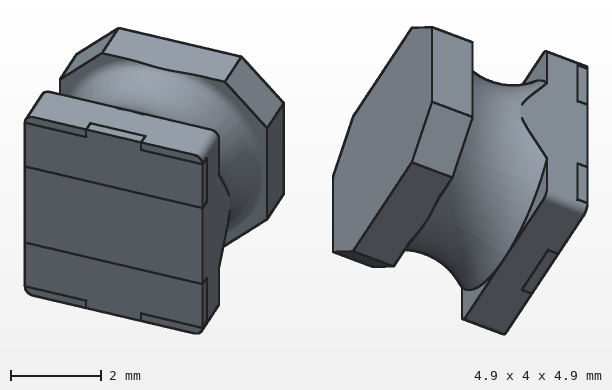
import cadquery as cq
import math


total_depth = 4.0
plate_width = 4.205
plate_height = 4.9
plate_thickness = 1.0
plate_corner_radius = 0.205
flange_width = 4.9
flange_height = 4.5
flange_thickness = 1.0
flange_chamfer = 1.0
flange_face_y = total_depth - flange_thickness

neck_plate_radius = plate_height / 2
neck_waist_radius = 2.035
neck_waist_y = 2.115
neck_flange_radius = flange_height / 2
neck_fillet_radius = 0.25

terminal_thickness = 0.25
terminal_gap = 2.085
terminal_outer_z = plate_height / 2 - plate_corner_radius
tab_width = 1.3


def make_plate():
    """Rectangular foot plate with rounded corners."""
    return (
        cq.Workplane("XY")
        .box(plate_width, plate_thickness, plate_height)
        .translate((0, plate_thickness / 2, 0))
        .edges("|Y")
        .fillet(plate_corner_radius)
    )


def make_flange():
    """Octagonal rear flange."""
    return (
        cq.Workplane("XY")
        .box(flange_width, flange_thickness, flange_height)
        .translate((0, total_depth - flange_thickness / 2, 0))
        .edges("|Y")
        .chamfer(flange_chamfer)
    )


def neck_arc_circle():
    """Return the centre (radius, y) and the radius of the circle that forms the neck profile."""
    to_plate_r = neck_plate_radius - neck_waist_radius
    to_plate_y = plate_thickness - neck_waist_y
    to_flange_r = neck_flange_radius - neck_waist_radius
    to_flange_y = flange_face_y - neck_waist_y
    plate_square = to_plate_r**2 + to_plate_y**2
    flange_square = to_flange_r**2 + to_flange_y**2
    determinant = 2 * (to_plate_r * to_flange_y - to_plate_y * to_flange_r)
    offset_r = (plate_square * to_flange_y - flange_square * to_plate_y) / determinant
    offset_y = (to_plate_r * flange_square - to_flange_r * plate_square) / determinant
    center = (neck_waist_radius + offset_r, neck_waist_y + offset_y)
    return center, math.hypot(offset_r, offset_y)


def make_neck():
    """Waisted body of revolution, trimmed flush with the sides of the plate."""
    neck = (
        cq.Workplane("XY")
        .moveTo(0, plate_thickness)
        .lineTo(neck_plate_radius, plate_thickness)
        .threePointArc((neck_waist_radius, neck_waist_y), (neck_flange_radius, flange_face_y))
        .lineTo(0, flange_face_y)
        .close()
        .revolve(360, (0, 0, 0), (0, 1, 0))
    )
    front_length = neck_waist_y - plate_thickness
    front_limit = cq.Workplane("XY").box(plate_width, front_length, plate_height)
    rear_length = flange_face_y - neck_waist_y
    rear_limit = cq.Workplane("XY").box(flange_width, rear_length, plate_height)
    trim = front_limit.translate((0, plate_thickness + front_length / 2, 0)).union(
        rear_limit.translate((0, neck_waist_y + rear_length / 2, 0))
    )
    return neck.intersect(trim)


def make_neck_fillet():
    """Fillet ring between neck and flange, cut off at the flats of the flange."""
    (arc_r, arc_y), arc_radius = neck_arc_circle()
    fillet_y = flange_face_y - neck_fillet_radius
    center_distance = arc_radius - neck_fillet_radius
    fillet_r = arc_r - math.sqrt(center_distance**2 - (fillet_y - arc_y) ** 2)
    direction_r = (fillet_r - arc_r) / center_distance
    direction_y = (fillet_y - arc_y) / center_distance
    tangent_point = (arc_r + arc_radius * direction_r, arc_y + arc_radius * direction_y)
    middle_angle = (math.atan2(direction_y, direction_r) + math.pi / 2) / 2
    middle_point = (
        fillet_r + neck_fillet_radius * math.cos(middle_angle),
        fillet_y + neck_fillet_radius * math.sin(middle_angle),
    )
    ring = (
        cq.Workplane("XY")
        .moveTo(0, tangent_point[1])
        .lineTo(*tangent_point)
        .threePointArc(middle_point, (fillet_r, flange_face_y))
        .lineTo(0, flange_face_y)
        .close()
        .revolve(360, (0, 0, 0), (0, 1, 0))
    )
    return ring.intersect(make_flange().translate((0, -flange_thickness, 0)))


def make_terminal(side):
    """Flat contact with a narrower tab that reaches the plate edge; side is +1 or -1 along Z."""
    inner_z = terminal_gap / 2
    pad_height = terminal_outer_z - inner_z
    pad = cq.Workplane("XY").box(plate_width, terminal_thickness, pad_height)
    tab_height = plate_height / 2 - inner_z
    tab = cq.Workplane("XY").box(tab_width, terminal_thickness, tab_height)
    middle_y = terminal_thickness / 2
    return pad.translate((0, middle_y, side * (inner_z + pad_height / 2))).union(
        tab.translate((0, middle_y, side * (inner_z + tab_height / 2)))
    )


terminals = [make_terminal(side) for side in (1, -1)]
core = make_plate().union(make_neck()).union(make_neck_fillet()).union(make_flange())
for terminal in terminals:
    core = core.cut(terminal)

result = cq.Compound.makeCompound([core.solids().val(), *[terminal.solids().val() for terminal in terminals]])